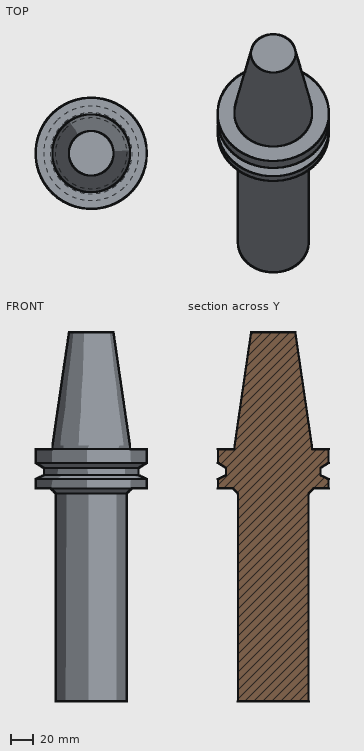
import cadquery as cq

total_length = 330.8

shank_diameter = 64.0
shank_length = 186.2

flange_diameter = 100.0
groove_diameter = 85.0
flange_base_diameter = 73.0
flange_base_height = 4.5
lower_rim_height = 8.3
lower_groove_flank = 3.5
groove_floor_height = 6.3
upper_groove_flank = 4.5
upper_rim_height = 12.2

taper_large_diameter = 69.8
taper_small_diameter = 40.0
collar_height = 3.0

z_bottom = -total_length / 2
z_flange = z_bottom + shank_length
z_lower_rim = z_flange + flange_base_height
z_lower_flank = z_lower_rim + lower_rim_height
z_floor = z_lower_flank + lower_groove_flank
z_upper_flank = z_floor + groove_floor_height
z_upper_rim = z_upper_flank + upper_groove_flank
z_collar = z_upper_rim + upper_rim_height
z_taper = z_collar + collar_height
z_top = z_bottom + total_length

profile = [
    (0, z_bottom),
    (shank_diameter / 2, z_bottom),
    (shank_diameter / 2, z_flange),
    (flange_base_diameter / 2, z_lower_rim),
    (flange_diameter / 2, z_lower_rim),
    (flange_diameter / 2, z_lower_flank),
    (groove_diameter / 2, z_floor),
    (groove_diameter / 2, z_upper_flank),
    (flange_diameter / 2, z_upper_rim),
    (flange_diameter / 2, z_collar),
    (taper_large_diameter / 2, z_collar),
    (taper_large_diameter / 2, z_taper),
    (taper_small_diameter / 2, z_top),
    (0, z_top),
]

result = cq.Workplane("XZ").polyline(profile).close().revolve(360, (0, 0), (0, 1))